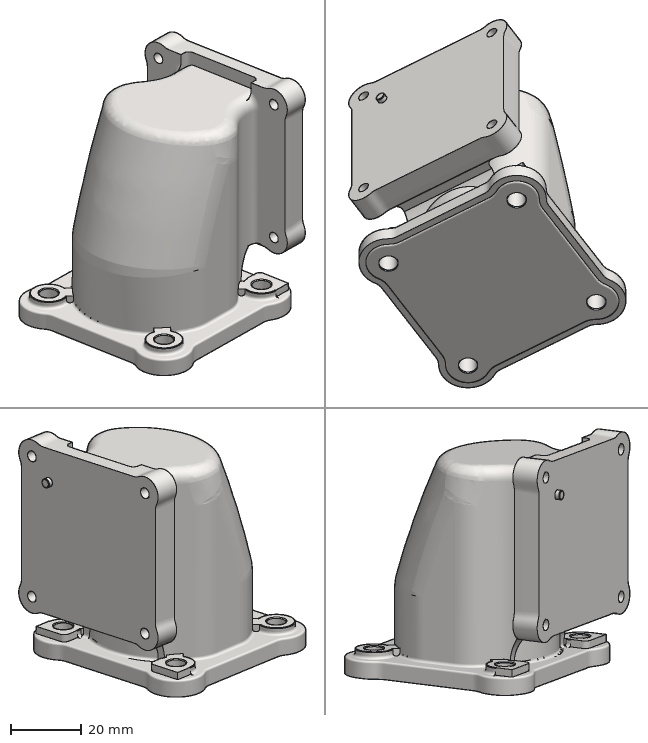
import cadquery as cq
import math

BOLT_SPACING = 43.1
BOLT_OFFSET = BOLT_SPACING / 2
BOLT_CORNERS = [(sx * BOLT_OFFSET, sy * BOLT_OFFSET) for sx in (-1, 1) for sy in (-1, 1)]

BASE_HALF_SIDE = 28.05
BASE_WIDTH = 59.95
BASE_LOBE_R = (BASE_WIDTH - BOLT_SPACING) / 2
BASE_BLEND_R = 4.5
BASE_THICKNESS = 5.1
BASE_EDGE_FILLET = 0.6
BASE_HOLE_D = 5.5
BASE_HOLE_CHAMFER = 0.3
FOOT_FILLET = 0.9

PAD_R = 5.45
PAD_TOP = 7.3
PAD_CHAMFER = 0.2
PAD_CORNER_R = 1.7
PAD_TAB_WIDTH = 4.8
PAD_TAB_LENGTH = 7.6

GASKET_THICKNESS = 0.6
GASKET_INSET = 2.0
GASKET_EDGE_FILLET = 0.55

FLANGE_TOP = 68.3
FLANGE_HALF_SIDE = 25.7
FLANGE_LOBE_R = 5.0
FLANGE_CENTER_Z = FLANGE_TOP - FLANGE_LOBE_R - BOLT_OFFSET
FLANGE_BLEND_R = 4.5
FLANGE_FRONT_Y = 27.0
FLANGE_BACK_Y = 35.0
FLANGE_HOLE_D = 3.25
FLANGE_FRONT_LAND = 2.3
FLANGE_SIDE_DRAW = 0.17
NOTCH_HALF_WIDTH = 13.1
NOTCH_DEPTH = 3.2
NOTCH_CORNER_R = 1.7

PIN_D = 2.75
PIN_X = 15.1
PIN_Z = 57.05
PIN_PROTRUSION = 1.5
PIN_SEAT_DEPTH = 2.75
PIN_CHAMFER = 0.2

PICK_MARGIN = 0.1
PICK_REACH = 24.8

BODY_HALF_WIDTH = 22.75
BODY_TOP = 63.3
BODY_TOP_FILLET = 4.0
SHOULDER_Y = 5.85
SHOULDER_R = 10.35
SHOULDER_ANGLE = math.radians(38)
NECK_R = 12.4
NECK_START_Y = 24.0
NECK_FLANGE_FILLET = 2.1
BARREL_R = 23.65
SIDE_CLEARANCE = 0.3
BLEND_R = 11.0
LEAN_START_Z = 24.8
LEAN_ANGLE = math.radians(16.3)
LEAN_BEND_R = 205.35
LEAN_STEPS = 4
NECK_BOTTOM = 16.3
ARCH_FOOT_Y = 19.7
ARCH_FOOT_Z = 6.2
ARCH_R = 14.1


def lobed_outline(half_side, lobe_r, blend_r, z=0):
    """Square outline at height z; concave arcs blend its sides into a round lobe about each bolt."""
    overhang = half_side - BOLT_OFFSET
    reach = lobe_r + blend_r
    blend_off = overhang + blend_r
    blend_along = math.sqrt(reach ** 2 - blend_off ** 2)
    touch = lobe_r / reach
    blend_turn = (math.atan2(blend_off, blend_along) + math.pi / 2) / 2

    side_end = (-blend_along, -overhang)
    blend_mid = (
        -blend_along + blend_r * math.cos(blend_turn),
        -blend_off + blend_r * math.sin(blend_turn),
    )
    lobe_start = (-blend_along * touch, -blend_off * touch)
    lobe_mid = (lobe_r / math.sqrt(2), -lobe_r / math.sqrt(2))

    def mirrored(point):
        return (-point[1], -point[0])

    corner = [
        side_end, blend_mid, lobe_start, lobe_mid,
        mirrored(lobe_start), mirrored(blend_mid), mirrored(side_end),
    ]

    def placed(point, quarter):
        x, y = point[0] + BOLT_OFFSET, point[1] - BOLT_OFFSET
        for _ in range(quarter):
            x, y = -y, x
        return (x, y)

    outline = cq.Workplane("XY", origin=(0, 0, z)).moveTo(*placed(side_end, 0))
    for quarter in range(4):
        points = [placed(point, quarter) for point in corner]
        if quarter:
            outline = outline.lineTo(*points[0])
        for middle, end in zip(points[1::2], points[2::2]):
            outline = outline.threePointArc(middle, end)
    return outline.close()


def base_plate():
    plate = lobed_outline(BASE_HALF_SIDE, BASE_LOBE_R, BASE_BLEND_R).extrude(BASE_THICKNESS)
    return plate.faces(">Z").edges().fillet(BASE_EDGE_FILLET)


def flank_prism():
    """Straight-sided upright prism: flat flanks, convex shoulders and a concave neck at the rear."""
    sin_a, cos_a = math.sin(SHOULDER_ANGLE), math.cos(SHOULDER_ANGLE)
    sin_h, cos_h = math.sin(SHOULDER_ANGLE / 2), math.cos(SHOULDER_ANGLE / 2)

    shoulder_start = (BODY_HALF_WIDTH, SHOULDER_Y)
    shoulder_mid = (BODY_HALF_WIDTH - SHOULDER_R * (1 - cos_h), SHOULDER_Y + SHOULDER_R * sin_h)
    shoulder_end = (BODY_HALF_WIDTH - SHOULDER_R * (1 - cos_a), SHOULDER_Y + SHOULDER_R * sin_a)

    neck_in_y = NECK_START_Y - NECK_R * sin_a
    neck_in_x = shoulder_end[0] - (neck_in_y - shoulder_end[1]) * math.tan(SHOULDER_ANGLE)
    neck_x = neck_in_x - NECK_R * (1 - cos_a)
    neck_mid = (neck_x + NECK_R * (1 - cos_h), NECK_START_Y - NECK_R * sin_h)
    rear_y = FLANGE_FRONT_Y + NOTCH_DEPTH

    return (
        cq.Workplane("XY")
        .moveTo(0, -BODY_HALF_WIDTH * 2)
        .lineTo(BODY_HALF_WIDTH, -BODY_HALF_WIDTH * 2)
        .lineTo(*shoulder_start)
        .threePointArc(shoulder_mid, shoulder_end)
        .lineTo(neck_in_x, neck_in_y)
        .threePointArc(neck_mid, (neck_x, NECK_START_Y))
        .lineTo(neck_x, rear_y)
        .lineTo(0, rear_y)
        .close()
        .extrude(BODY_TOP)
        .mirror("YZ", union=True)
    )


def barrel_section(z, setback):
    """Closed section at height z whose round front wall is moved back by setback."""
    half_width = BODY_HALF_WIDTH + SIDE_CLEARANCE
    front_y = setback - math.sqrt(BARREL_R ** 2 - half_width ** 2)
    rear_y = setback + FLANGE_BACK_Y
    return (
        cq.Workplane("XY", origin=(0, 0, z))
        .moveTo(half_width, rear_y)
        .lineTo(half_width, front_y)
        .threePointArc((0, setback - BARREL_R), (-half_width, front_y))
        .lineTo(-half_width, rear_y)
        .close()
    )


def front_envelope():
    """Space behind the front wall: upright below, leaning back along a gentle curve above."""
    lower = barrel_section(0, 0).extrude(LEAN_START_Z)
    wires = []
    for step in range(LEAN_STEPS + 1):
        rise = (BODY_TOP - LEAN_START_Z) * step / LEAN_STEPS
        setback = rise * math.tan(LEAN_ANGLE) + rise ** 2 / (2 * LEAN_BEND_R)
        wires.append(barrel_section(LEAN_START_Z + rise, setback).wire().val())
    upper = cq.Workplane(cq.Solid.makeLoft(wires))
    return lower.union(upper)


def under_neck_space():
    """Space below the neck and behind the round rear wall; an arch joins the flanks to the neck."""
    rear_y = FLANGE_FRONT_Y + NOTCH_DEPTH
    behind = (
        cq.Workplane("YZ", origin=(-BODY_HALF_WIDTH, 0, 0))
        .moveTo(ARCH_FOOT_Y, 0)
        .lineTo(ARCH_FOOT_Y, ARCH_FOOT_Z)
        .radiusArc((NECK_START_Y, NECK_BOTTOM), ARCH_R)
        .lineTo(rear_y, NECK_BOTTOM)
        .lineTo(rear_y, 0)
        .close()
        .extrude(2 * BODY_HALF_WIDTH)
    )
    barrel = cq.Workplane("XY").circle(BARREL_R).extrude(NECK_BOTTOM)
    return behind.cut(barrel)


def elbow_body():
    body = flank_prism().intersect(front_envelope())
    front_edges = cq.selectors.BoxSelector(
        (-BARREL_R, -BARREL_R, BASE_THICKNESS),
        (BARREL_R, SHOULDER_Y - PICK_MARGIN, BODY_TOP - PICK_MARGIN),
    )
    body = body.edges(front_edges).fillet(BLEND_R)
    body = body.faces(">Z").edges("not(>Y)").fillet(BODY_TOP_FILLET)
    return body.cut(under_neck_space())


def pads():
    """Pads about the base holes, each with a tab toward the body; the rear pads run back squarely."""
    rise = PAD_TOP - BASE_THICKNESS
    foot_r = PAD_R + FOOT_FILLET
    profile = (
        cq.Workplane("XZ")
        .moveTo(0, 0)
        .lineTo(foot_r, 0)
        .radiusArc((PAD_R, FOOT_FILLET), FOOT_FILLET)
        .lineTo(PAD_R, rise - PAD_CHAMFER)
        .lineTo(PAD_R - PAD_CHAMFER, rise)
        .lineTo(0, rise)
        .close()
    )
    round_pad = profile.revolve(360, (0, 0, 0), (0, 1, 0))
    tab = cq.Workplane("XY").box(PAD_TAB_LENGTH, PAD_TAB_WIDTH, rise, centered=(False, True, False))
    back_half = cq.Workplane("XY").box(2 * foot_r, foot_r, rise, centered=(True, False, False))
    back_length = FLANGE_FRONT_Y - BOLT_OFFSET
    square_back = cq.Workplane("XY").box(2 * PAD_R, back_length, rise, centered=(True, False, False))
    all_pads = cq.Workplane("XY")
    for x, y in BOLT_CORNERS:
        inward = math.degrees(math.atan2(-y, -x))
        pad = round_pad
        if y > 0:
            inner_corner = "|Z and >Y and <X" if x > 0 else "|Z and >Y and >X"
            pad = pad.cut(back_half).union(square_back.edges(inner_corner).fillet(PAD_CORNER_R))
        pad = pad.union(tab.rotate((0, 0, 0), (0, 0, 1), inward))
        all_pads = all_pads.add(pad.translate((x, y, BASE_THICKNESS)))
    return all_pads


def base_holes():
    top_r = BASE_HOLE_D / 2 + BASE_HOLE_CHAMFER
    holes = cq.Workplane("XY").pushPoints(BOLT_CORNERS).circle(BASE_HOLE_D / 2).extrude(PAD_TOP)
    countersink = cq.Solid.makeCone(
        BASE_HOLE_D / 2, top_r, BASE_HOLE_CHAMFER, pnt=cq.Vector(0, 0, PAD_TOP - BASE_HOLE_CHAMFER)
    )
    for x, y in BOLT_CORNERS:
        holes = holes.union(cq.Workplane(countersink.translate(cq.Vector(x, y, 0))))
    return holes


def outlet_flange():
    thickness = FLANGE_BACK_Y - FLANGE_FRONT_Y
    land_z = thickness - FLANGE_FRONT_LAND
    back = lobed_outline(FLANGE_HALF_SIDE - FLANGE_SIDE_DRAW, FLANGE_LOBE_R, FLANGE_BLEND_R)
    front = lobed_outline(FLANGE_HALF_SIDE, FLANGE_LOBE_R, FLANGE_BLEND_R, land_z)
    drawn_rim = cq.Solid.makeLoft([back.wire().val(), front.wire().val()], True)
    plate = front.extrude(FLANGE_FRONT_LAND).union(cq.Workplane(drawn_rim))
    holes = cq.Workplane("XY").pushPoints(BOLT_CORNERS).circle(FLANGE_HOLE_D / 2).extrude(thickness)
    plate = plate.cut(holes)
    plate = plate.rotate((0, 0, 0), (1, 0, 0), 90).translate((0, FLANGE_BACK_Y, FLANGE_CENTER_Z))

    notch = (
        cq.Workplane("XY", origin=(0, FLANGE_FRONT_Y, BODY_TOP - BODY_TOP_FILLET))
        .box(2 * NOTCH_HALF_WIDTH, 2 * NOTCH_DEPTH, FLANGE_HALF_SIDE, centered=(True, True, False))
        .edges("|Z")
        .fillet(NOTCH_CORNER_R)
    )
    return plate.cut(notch)


def locating_pin():
    length = PIN_SEAT_DEPTH + PIN_PROTRUSION
    return (
        cq.Workplane("XZ", origin=(PIN_X, FLANGE_BACK_Y - PIN_SEAT_DEPTH, PIN_Z))
        .circle(PIN_D / 2)
        .extrude(-length)
        .faces(">Y")
        .edges()
        .chamfer(PIN_CHAMFER)
    )


def housing_solid():
    body = elbow_body().union(base_plate())
    foot_edges = cq.selectors.BoxSelector(
        (-PICK_REACH, -PICK_REACH, BASE_THICKNESS - PICK_MARGIN),
        (PICK_REACH, PICK_REACH, BASE_THICKNESS + PICK_MARGIN),
        boundingbox=True,
    )
    body = body.edges(foot_edges).fillet(FOOT_FILLET)
    body = body.union(outlet_flange())
    neck_edges = cq.selectors.BoxSelector(
        (-PICK_REACH, FLANGE_FRONT_Y - PICK_MARGIN, NECK_BOTTOM - PICK_MARGIN),
        (PICK_REACH, FLANGE_FRONT_Y + PICK_MARGIN, BODY_TOP),
        boundingbox=True,
    )
    body = body.edges(neck_edges).edges("|Z").fillet(NECK_FLANGE_FILLET)
    for pad in pads().vals():
        body = body.union(cq.Workplane(pad))
    return body.cut(base_holes()).cut(locating_pin())


def gasket_solid():
    outline = lobed_outline(
        BASE_HALF_SIDE - GASKET_INSET, BASE_LOBE_R - GASKET_INSET, BASE_BLEND_R + GASKET_INSET
    )
    plate = outline.extrude(GASKET_THICKNESS)
    plate = plate.faces("<Z").edges().fillet(GASKET_EDGE_FILLET)
    holes = cq.Workplane("XY").pushPoints(BOLT_CORNERS).circle(BASE_HOLE_D / 2).extrude(GASKET_THICKNESS)
    return plate.cut(holes).translate((0, 0, -GASKET_THICKNESS))


housing = housing_solid()
gasket = gasket_solid()
pin = locating_pin()

result = cq.Compound.makeCompound([housing.val(), gasket.val(), pin.val()])